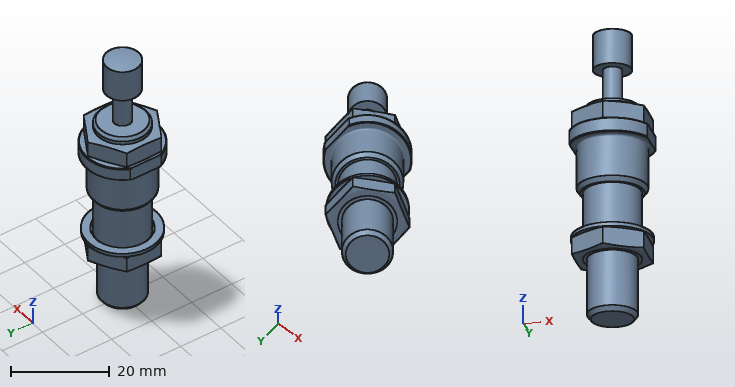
import cadquery as cq
import math

TOTAL_HEIGHT = 62.3

BARREL_DIAMETER = 12.0
BARREL_TOP_Z = 46.05
BARREL_TIP_DIAMETER = 10.9
BARREL_TOP_BEVEL_HEIGHT = 0.75
TAIL_DIAMETER = 10.4
TAIL_CHAMFER_WIDTH = 0.8
TAIL_CHAMFER_HEIGHT = 1.0

NUT_ACROSS_FLATS = 14.95
NUT_HEIGHT = 4.0
NUT_BEVEL_DIAMETER = 14.75
NUT_BEVEL_ANGLE = 10.0
LOWER_NUT_Z = 13.0

WASHER_DIAMETER = 16.9
WASHER_BORE = 13.0
WASHER_THICKNESS = 0.8
WASHER_Z = LOWER_NUT_Z + NUT_HEIGHT

SLEEVE_DIAMETER = 14.6
SLEEVE_Z = 27.5
SLEEVE_CHAMFER_WIDTH = 0.75
SLEEVE_CHAMFER_HEIGHT = 1.0
FLANGE_DIAMETER = 17.95
FLANGE_ACROSS_FLATS = 16.2
FLANGE_BOTTOM_Z = 37.45
FLANGE_TOP_Z = 40.5
FLANGE_CHAMFER = 0.2
FLANGE_ROOT_FILLET = 0.4

UPPER_NUT_Z = FLANGE_TOP_Z

ROD_DIAMETER = 4.0
CAP_DIAMETER = 8.0
CAP_BOTTOM_Z = 54.3
CAP_DOME_HEIGHT = 0.5


def make_barrel():
    """Barrel that steps down to the tail at the underside of the lower nut."""
    barrel_radius = BARREL_DIAMETER / 2
    tail_radius = TAIL_DIAMETER / 2
    return (
        cq.Workplane("XZ")
        .moveTo(0, 0)
        .lineTo(tail_radius - TAIL_CHAMFER_WIDTH, 0)
        .lineTo(tail_radius, TAIL_CHAMFER_HEIGHT)
        .lineTo(tail_radius, LOWER_NUT_Z)
        .lineTo(barrel_radius, LOWER_NUT_Z)
        .lineTo(barrel_radius, BARREL_TOP_Z - BARREL_TOP_BEVEL_HEIGHT)
        .lineTo(BARREL_TIP_DIAMETER / 2, BARREL_TOP_Z)
        .lineTo(0, BARREL_TOP_Z)
        .close()
        .revolve(360, (0, 0, 0), (0, 1, 0))
    )


def make_plunger():
    """Rod standing on the barrel, with a cap that ends in a shallow dome."""
    cap_radius = CAP_DIAMETER / 2
    rim_z = TOTAL_HEIGHT - CAP_DOME_HEIGHT
    dome_radius = (cap_radius**2 + CAP_DOME_HEIGHT**2) / (2 * CAP_DOME_HEIGHT)
    middle_x = cap_radius / 2
    middle_z = TOTAL_HEIGHT - dome_radius + math.sqrt(dome_radius**2 - middle_x**2)
    return (
        cq.Workplane("XZ")
        .moveTo(0, BARREL_TOP_Z)
        .lineTo(ROD_DIAMETER / 2, BARREL_TOP_Z)
        .lineTo(ROD_DIAMETER / 2, CAP_BOTTOM_Z)
        .lineTo(cap_radius, CAP_BOTTOM_Z)
        .lineTo(cap_radius, rim_z)
        .threePointArc((middle_x, middle_z), (0, TOTAL_HEIGHT))
        .close()
        .revolve(360, (0, 0, 0), (0, 1, 0))
    )


def make_nut(bottom_z):
    """Hex nut with corners on the Y axis, beveled conically on both faces."""
    corner_radius = NUT_ACROSS_FLATS / math.sqrt(3)
    bevel_radius = NUT_BEVEL_DIAMETER / 2
    bevel_drop = (corner_radius - bevel_radius) * math.tan(math.radians(NUT_BEVEL_ANGLE))
    hexagon = (
        cq.Workplane("XY")
        .polygon(6, 2 * corner_radius)
        .extrude(NUT_HEIGHT)
        .rotate((0, 0, 0), (0, 0, 1), 90)
    )
    bevel_envelope = (
        cq.Workplane("XZ")
        .moveTo(0, 0)
        .lineTo(bevel_radius, 0)
        .lineTo(corner_radius, bevel_drop)
        .lineTo(corner_radius, NUT_HEIGHT - bevel_drop)
        .lineTo(bevel_radius, NUT_HEIGHT)
        .lineTo(0, NUT_HEIGHT)
        .close()
        .revolve(360, (0, 0, 0), (0, 1, 0))
    )
    bore = cq.Workplane("XY").circle(BARREL_DIAMETER / 2).extrude(NUT_HEIGHT)
    return hexagon.intersect(bevel_envelope).cut(bore).translate((0, 0, bottom_z))


def make_washer():
    """Flat washer with clearance around the barrel."""
    return (
        cq.Workplane("XY", origin=(0, 0, WASHER_Z))
        .circle(WASHER_DIAMETER / 2)
        .circle(WASHER_BORE / 2)
        .extrude(WASHER_THICKNESS)
    )


def make_sleeve():
    """Stop sleeve: chamfered at the bottom, flanged at the top, bored for the barrel."""
    sleeve_radius = SLEEVE_DIAMETER / 2
    flange = (
        cq.Workplane("XY", origin=(0, 0, FLANGE_BOTTOM_Z))
        .circle(FLANGE_DIAMETER / 2)
        .extrude(FLANGE_TOP_Z - FLANGE_BOTTOM_Z)
    )
    flats = (
        cq.Workplane("XY", origin=(0, 0, FLANGE_BOTTOM_Z))
        .rect(FLANGE_ACROSS_FLATS, FLANGE_DIAMETER)
        .extrude(FLANGE_TOP_Z - FLANGE_BOTTOM_Z)
    )
    flange = flange.edges("%CIRCLE").chamfer(FLANGE_CHAMFER).intersect(flats)
    tube = (
        cq.Workplane("XZ")
        .moveTo(0, SLEEVE_Z)
        .lineTo(sleeve_radius - SLEEVE_CHAMFER_WIDTH, SLEEVE_Z)
        .lineTo(sleeve_radius, SLEEVE_Z + SLEEVE_CHAMFER_HEIGHT)
        .lineTo(sleeve_radius, FLANGE_BOTTOM_Z - FLANGE_ROOT_FILLET)
        .radiusArc((sleeve_radius + FLANGE_ROOT_FILLET, FLANGE_BOTTOM_Z), FLANGE_ROOT_FILLET)
        .lineTo(0, FLANGE_BOTTOM_Z)
        .close()
        .revolve(360, (0, 0, 0), (0, 1, 0))
    )
    bore = (
        cq.Workplane("XY", origin=(0, 0, SLEEVE_Z))
        .circle(BARREL_DIAMETER / 2)
        .extrude(FLANGE_TOP_Z - SLEEVE_Z)
    )
    return tube.union(flange).cut(bore)


barrel = make_barrel()
plunger = make_plunger()
sleeve = make_sleeve()
washer = make_washer()
nuts = [make_nut(bottom_z) for bottom_z in (LOWER_NUT_Z, UPPER_NUT_Z)]

result = cq.Compound.makeCompound(
    [barrel.val(), plunger.val(), sleeve.val(), washer.val(), *[nut.val() for nut in nuts]]
)